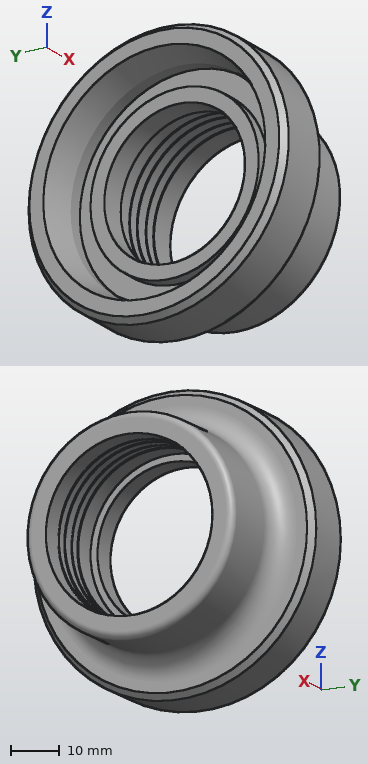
import cadquery as cq
import math

length = 33.0
flange_diameter = 65.0
flange_width = 14.1
hub_diameter = 48.0

chamfer_length = 1.55
chamfer_depth = 1.3
neck_radius = 4.9
hub_edge_radius = 1.55

mouth_diameter = 55.45
recess_diameter = 51.8
taper_depth = 7.2
recess_depth = 10.4
ring_diameter = 42.0
ring_height = 3.2

bore_diameter = 35.1
counterbore_diameter = 38.3
counterbore_start = 13.05
groove_diameter = 38.7
groove_width = 2.7
first_groove_start = 18.6
groove_pitch = 5.85
groove_count = 2


def cylinder(diameter, start, end):
    """Solid cylinder on the X axis between two X positions."""
    return cq.Workplane("YZ").workplane(offset=start).circle(diameter / 2).extrude(end - start)


def outer_body():
    """Chamfered flange blending into the round-edged hub."""
    rim = flange_diameter / 2
    hub = hub_diameter / 2
    diagonal = math.sqrt(0.5)
    profile = (
        cq.Workplane("XY")
        .lineTo(0, rim - chamfer_depth)
        .lineTo(chamfer_length, rim)
        .lineTo(flange_width - chamfer_length, rim)
        .lineTo(flange_width, rim - chamfer_depth)
        .lineTo(flange_width, hub + neck_radius)
        .threePointArc(
            (flange_width + neck_radius * (1 - diagonal), hub + neck_radius * (1 - diagonal)),
            (flange_width + neck_radius, hub),
        )
        .lineTo(length - hub_edge_radius, hub)
        .threePointArc(
            (length - hub_edge_radius * (1 - diagonal), hub - hub_edge_radius * (1 - diagonal)),
            (length, hub - hub_edge_radius),
        )
        .lineTo(length, 0)
        .close()
    )
    return profile.revolve(360, (0, 0), (1, 0))


def face_recess():
    """Tapered mouth and straight recess, leaving the raised ring on its floor."""
    mouth = mouth_diameter / 2
    recess = recess_diameter / 2
    ring = ring_diameter / 2
    ring_face = recess_depth - ring_height
    profile = (
        cq.Workplane("XY")
        .lineTo(0, mouth)
        .lineTo(taper_depth, recess)
        .lineTo(recess_depth, recess)
        .lineTo(recess_depth, ring)
        .lineTo(ring_face, ring)
        .lineTo(ring_face, 0)
        .close()
    )
    return profile.revolve(360, (0, 0), (1, 0))


def stepped_bore():
    """Through bore with its counterbore and internal grooves."""
    bore = cylinder(bore_diameter, 0, length)
    bore = bore.union(cylinder(counterbore_diameter, counterbore_start, length))
    for index in range(groove_count):
        start = first_groove_start + index * groove_pitch
        bore = bore.union(cylinder(groove_diameter, start, start + groove_width))
    return bore


result = outer_body().cut(face_recess()).cut(stepped_bore())